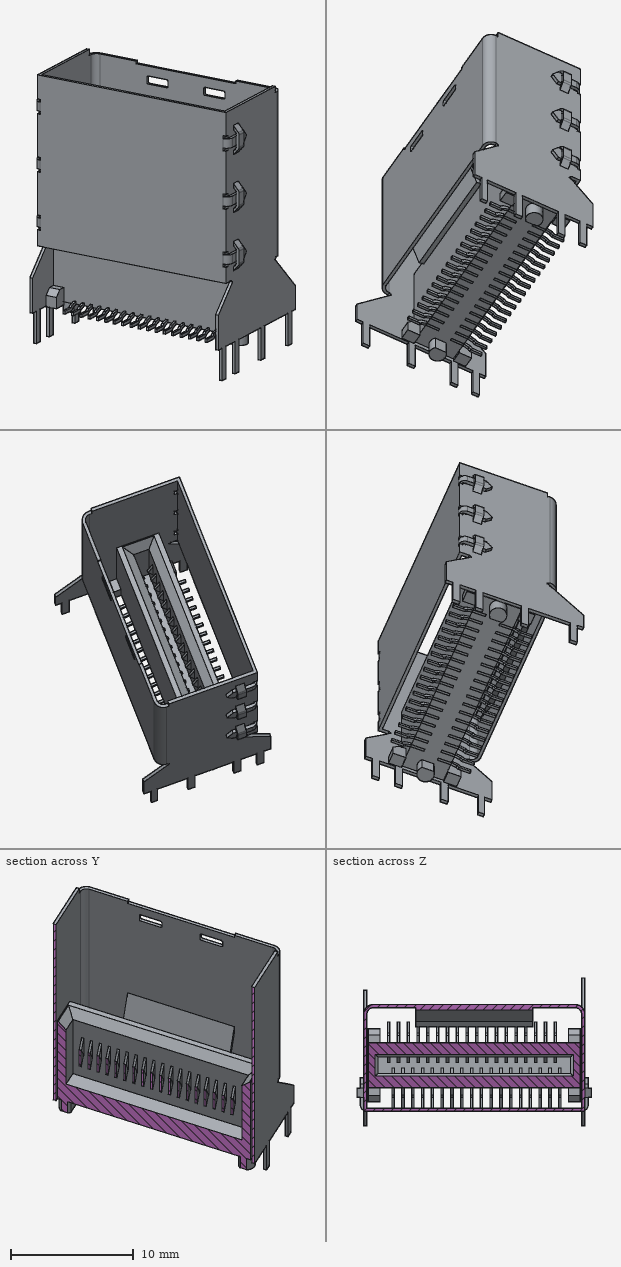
import cadquery as cq
import math


sheet = 0.28
cage_half_x = 9.03
cage_front_y = -3.77
cage_back_y = 4.96
cage_top = 20.18
wall_bottom = 5.42
back_bend_radius = 0.8

back_wall_top = 19.65
top_step_y = 3.95
notch_depth = 0.23
finger_half_width = 4.78

slot_spacing = 5.45
slot_length = 2.02
slot_height = 0.7
slot_z = 18.22
slot_corner = 0.14

finger_root_z = 9.2
finger_angle = 70
finger_reach = 1.13
lip_reach = 0.44

skirt_front_y = -4.95
left_skirt_back_y = 6.14
right_skirt_back_y = 7.12
neck_back_y = 3.9
neck_front_y = -2.73
neck_z = 5.25

leg_length = 2.8
leg_width = 0.62
common_leg_ys = [-4.05, -2.02, 1.98]
left_leg_y = 5.22
left_leg_width = 0.53
right_leg_y = 6.25

latch_count = 3
latch_pitch = 5.0
latch_middle_z = 12.45
strap_half = 0.402
arrow_half = 0.65
arrow_shoulder_y = -1.55
arrow_tip_y = -1.0
loop_front_y = -2.62
loop_back_y = -1.85
loop_foot_half = 1.26
loop_crest_half = 0.65
loop_inner_foot_half = 0.92
loop_inner_crest_half = 0.62
loop_crest_fillet = 0.3

housing_half_x = 8.66
housing_half_y = 1.84
housing_bottom = 0.28
housing_top = 9.2
mouth_half_x = 8.57
mouth_half_y = 1.38
mouth_chamfer = 0.71
card_slot_floor = 2.3

foot_inner_x = 7.68
foot_reach_y = 2.99
foot_height = 1.52
foot_chamfer = 0.53

peg_x = 8.02
peg_radius = 0.71
peg_flat_x = 7.51
peg_tip_z = -0.99

contact_count = 18
contact_pitch = 0.8
contact_width = 0.2
contact_thickness = 0.28
row_shift = 0.18
tail_exit_z = 0.53
tail_knee_y = 2.44
tail_knee_z = 0.37
tail_foot_y = 2.62
tail_foot_z = 0.18
tail_end_y = 3.55
tip_reach = 0.45
tip_angle = 65
tip_z = 5.75

cage_inner_x = cage_half_x - sheet
side_start_y = cage_back_y - back_bend_radius
slope_relief = wall_bottom - neck_z
loop_height = 2 * sheet
strap_bend_radius = 2 * sheet
strap_bend_y = cage_front_y + strap_bend_radius
slot_half_x = mouth_half_x - mouth_chamfer
slot_half_y = mouth_half_y - mouth_chamfer


def box(x0, x1, y0, y1, z0, z1):
    """Block between two opposite corners."""
    return cq.Workplane("XY").box(x1 - x0, y1 - y0, z1 - z0, centered=False).translate((x0, y0, z0))


def plate(points, x0, x1):
    """Prism with a (y, z) outline, reaching from x0 to x1."""
    return cq.Workplane("YZ").workplane(offset=x0).polyline(points).close().extrude(x1 - x0)


def side_plate(side, skirt_back_y, rear_leg_y, rear_leg_width):
    """Side plate with its flared skirt and solder legs; side is -1 or +1."""
    outline = [
        (cage_front_y, cage_top),
        (top_step_y, cage_top),
        (top_step_y, back_wall_top),
        (side_start_y, back_wall_top),
        (side_start_y, wall_bottom),
        (neck_back_y + slope_relief, wall_bottom),
        (neck_back_y, neck_z),
        (skirt_back_y, neck_z - (skirt_back_y - neck_back_y)),
        (skirt_back_y, 0),
        (skirt_front_y, 0),
        (skirt_front_y, neck_z - (neck_front_y - skirt_front_y)),
        (neck_front_y, neck_z),
        (neck_front_y - slope_relief, wall_bottom),
        (cage_front_y, wall_bottom),
    ]
    x0, x1 = sorted((side * cage_inner_x, side * cage_half_x))
    body = plate(outline, x0, x1)
    legs = [(y, leg_width) for y in common_leg_ys] + [(rear_leg_y, rear_leg_width)]
    for y, width in legs:
        body = body.union(box(x0, x1, y - width / 2, y + width / 2, -leg_length, 0))
    return body


def back_wall():
    """Back wall with rounded rear corners, an upper notch and two windows."""
    start_y = side_start_y - sheet
    inner_radius = back_bend_radius - sheet
    outer = box(-cage_half_x, cage_half_x, start_y, cage_back_y, wall_bottom, back_wall_top)
    outer = outer.edges("|Z and >Y").fillet(back_bend_radius)
    inner = box(-cage_inner_x, cage_inner_x, start_y, cage_back_y - sheet,
                wall_bottom, back_wall_top)
    wall = outer.cut(inner.edges("|Z and >Y").fillet(inner_radius))
    notch = box(-finger_half_width, finger_half_width, side_start_y, cage_back_y,
                back_wall_top - notch_depth, back_wall_top)
    windows = (
        cq.Workplane("XY")
        .pushPoints([(-slot_spacing / 2, cage_back_y), (slot_spacing / 2, cage_back_y)])
        .box(slot_length, 4 * sheet, slot_height)
        .edges("|Y").fillet(slot_corner)
        .translate((0, 0, slot_z))
    )
    return wall.cut(notch).cut(windows)


def spring_finger():
    """Finger sloping down and inward from the back wall, ending in a 45 degree lip."""
    slope = math.tan(math.radians(finger_angle))
    root_y = cage_back_y - sheet
    bend_y = root_y - finger_reach
    bend_z = finger_root_z - finger_reach * slope
    root_height = sheet / math.cos(math.radians(finger_angle))
    tip_y = bend_y - lip_reach
    lip_z = bend_z - lip_reach
    outline = [
        (root_y, finger_root_z),
        (bend_y, bend_z),
        (tip_y, lip_z),
        (tip_y, lip_z - sheet),
        (bend_y, bend_z - root_height),
        (root_y, finger_root_z - root_height),
    ]
    return plate(outline, -finger_half_width, finger_half_width)


def latch_relief():
    """Corner opening that frees the strap of a right-hand latch."""
    plate_cut = box(cage_inner_x, cage_half_x, cage_front_y, strap_bend_y, -strap_half, strap_half)
    wall_cut = box(cage_inner_x, cage_half_x, cage_front_y, cage_front_y + sheet, -arrow_half, arrow_half)
    return plate_cut.union(wall_cut)


def latch():
    """Right-hand latch about Z = 0: a bent strap with an arrow head, held by a lanced loop."""
    strap_x = cage_half_x + sheet
    bend_x = strap_x - strap_bend_radius
    inner_radius = strap_bend_radius - sheet
    diagonal = math.sqrt(0.5)
    strap = (
        cq.Workplane("XY").workplane(offset=-strap_half)
        .moveTo(bend_x, cage_front_y)
        .threePointArc((bend_x + strap_bend_radius * diagonal, strap_bend_y - strap_bend_radius * diagonal),
                       (strap_x, strap_bend_y))
        .lineTo(strap_x, loop_back_y)
        .lineTo(cage_half_x, loop_back_y)
        .lineTo(cage_half_x, strap_bend_y)
        .threePointArc((bend_x + inner_radius * diagonal, strap_bend_y - inner_radius * diagonal),
                       (bend_x, cage_front_y + sheet))
        .close()
        .extrude(2 * strap_half)
    )
    arrow = plate(
        [
            (loop_back_y, -arrow_half),
            (arrow_shoulder_y, -arrow_half),
            (arrow_tip_y, 0),
            (arrow_shoulder_y, arrow_half),
            (loop_back_y, arrow_half),
        ],
        cage_half_x, strap_x,
    )
    loop_x = cage_half_x + loop_height
    loop = (
        cq.Workplane("XZ", origin=(0, loop_back_y, 0))
        .polyline([(cage_half_x, -loop_foot_half), (loop_x, -loop_crest_half),
                   (loop_x, loop_crest_half), (cage_half_x, loop_foot_half)])
        .close()
        .extrude(loop_back_y - loop_front_y)
        .edges("|Y and >X").fillet(loop_crest_fillet)
    )
    opening = (
        cq.Workplane("XZ", origin=(0, loop_back_y, 0))
        .polyline([(cage_half_x, -loop_inner_foot_half), (strap_x, -loop_inner_crest_half),
                   (strap_x, loop_inner_crest_half), (cage_half_x, loop_inner_foot_half)])
        .close()
        .extrude(loop_back_y - loop_front_y)
    )
    return strap.union(arrow).union(loop.cut(opening))


def make_cage():
    cage = box(-cage_inner_x, cage_inner_x, cage_front_y, cage_front_y + sheet, wall_bottom, cage_top)
    cage = cage.union(side_plate(-1, left_skirt_back_y, left_leg_y, left_leg_width))
    cage = cage.union(side_plate(1, right_skirt_back_y, right_leg_y, leg_width))
    cage = cage.union(back_wall()).union(spring_finger())
    right_relief = latch_relief()
    right_latch = latch()
    for i in range(latch_count):
        z = latch_middle_z + (i - (latch_count - 1) / 2) * latch_pitch
        for relief, hook in (
            (right_relief, right_latch),
            (right_relief.mirror("YZ"), right_latch.mirror("YZ")),
        ):
            cage = cage.cut(relief.translate((0, 0, z))).union(hook.translate((0, 0, z)))
    return cage


def housing_foot():
    """Foot at the back right corner of the housing, chamfered along its outer upper edge."""
    foot = box(foot_inner_x, housing_half_x, 0, foot_reach_y, 0, foot_height)
    foot = foot.edges(">Y and >Z").chamfer(foot_chamfer)
    return foot.cut(box(foot_inner_x, housing_half_x, 0, housing_half_y, 0, housing_bottom))


def locating_peg():
    """Right-hand locating peg with a flat towards the middle of the part."""
    length = housing_bottom - peg_tip_z
    peg = cq.Workplane("XY").workplane(offset=peg_tip_z).center(peg_x, 0).circle(peg_radius).extrude(length)
    return peg.cut(box(0, peg_flat_x, -peg_radius, peg_radius, peg_tip_z, housing_bottom))


def card_opening():
    """Tapered mouth leading into the card slot."""
    mouth = (
        cq.Workplane("XY").workplane(offset=housing_top)
        .rect(2 * mouth_half_x, 2 * mouth_half_y)
        .workplane(offset=-mouth_chamfer)
        .rect(2 * slot_half_x, 2 * slot_half_y)
        .loft(ruled=True)
    )
    slot = box(-slot_half_x, slot_half_x, -slot_half_y, slot_half_y,
               card_slot_floor, housing_top - mouth_chamfer)
    return mouth.union(slot)


def contact():
    """Back-row contact about X = 0: solder tail outside, pointed bump in the card slot."""
    tail_foot_bottom = tail_foot_z - contact_thickness
    knee_inset = contact_thickness / 2
    tail = plate(
        [
            (slot_half_y, tail_exit_z),
            (housing_half_y, tail_exit_z),
            (tail_knee_y, tail_knee_z),
            (tail_foot_y, tail_foot_z),
            (tail_end_y, tail_foot_z),
            (tail_end_y, tail_foot_bottom),
            (tail_foot_y - knee_inset, tail_foot_bottom),
            (tail_knee_y - knee_inset, tail_knee_z - contact_thickness),
            (housing_half_y, tail_exit_z - contact_thickness),
            (slot_half_y, tail_exit_z - contact_thickness),
        ],
        -contact_width / 2, contact_width / 2,
    )
    tip_half_height = tip_reach * math.tan(math.radians(tip_angle))
    tip = plate(
        [
            (slot_half_y, tip_z - tip_half_height),
            (slot_half_y, tip_z + tip_half_height),
            (slot_half_y - tip_reach, tip_z),
        ],
        -contact_width / 2, contact_width / 2,
    )
    return tail, tip


def make_connector():
    connector = box(-housing_half_x, housing_half_x, -housing_half_y, housing_half_y,
                    housing_bottom, housing_top)
    connector = connector.cut(card_opening())
    back_foot = housing_foot()
    right_side = back_foot.union(back_foot.mirror("XZ")).union(locating_peg())
    connector = connector.union(right_side).union(right_side.mirror("YZ"))
    contact_pieces = contact()
    parts = []
    for i in range(contact_count):
        x = (i - (contact_count - 1) / 2) * contact_pitch
        for piece in contact_pieces:
            parts.append(piece.translate((x - row_shift, 0, 0)).val())
            parts.append(piece.mirror("XZ").translate((x + row_shift, 0, 0)).val())
    return cq.Workplane(connector.val().fuse(*parts))


cage = make_cage()
connector = make_connector()
result = cq.Compound.makeCompound([cage.solids().val(), connector.solids().val()])